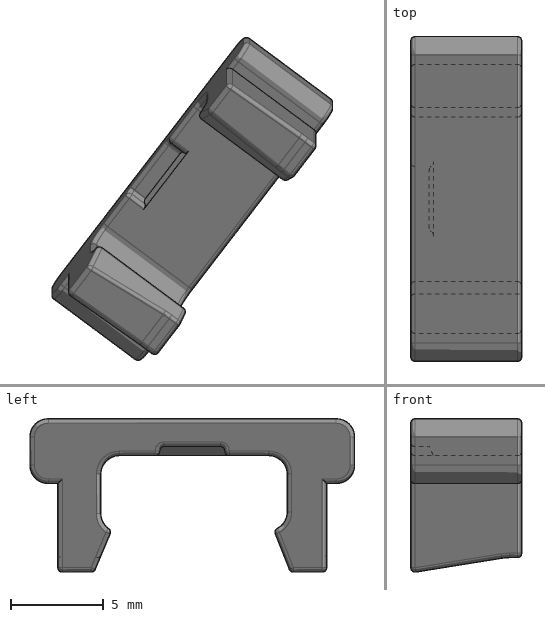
import cadquery as cq
import math

length = 17.5
width = 5.98
head_height = 3.5
corner_radius = 1.0
edge_radius = 0.25

opening_ceiling = 2.0
wall_y_plus = 4.92
wall_y_minus = 5.11

leg_outer_y = 7.25
hook_arc_start_plus = 5.11
hook_arc_start_minus = 5.02
hook_tip_y_plus = 4.34
hook_tip_y_minus = 4.38
foot_inner_y = 5.3

foot_front_depth = 8.31
foot_back_depth = 7.49
foot_slope_length = 5.11
foot_blend_radius = 2.5

pocket_half_width = 1.75
pocket_ceiling = 1.5
pocket_ceiling_length = 1.0
pocket_back_angle = 65.0
pocket_corner_radius = 0.23


def make_head():
    head = cq.Workplane("XY").box(width, length, head_height, centered=(False, True, False))
    return head.translate((0, 0, -head_height)).edges("|X").fillet(corner_radius)


def make_opening():
    """Upper part of the opening, from its rounded ceiling down past the head."""
    opening = (
        cq.Workplane("YZ")
        .moveTo(-wall_y_minus, -opening_ceiling)
        .lineTo(wall_y_plus, -opening_ceiling)
        .lineTo(wall_y_plus, -head_height)
        .lineTo(-wall_y_minus, -head_height)
        .close()
        .extrude(width)
    )
    return opening.edges("|X and >Z").fillet(corner_radius)


def make_leg(side, wall_y, hook_arc_start, hook_tip_y):
    """Straight leg on one side (+1 or -1 along Y); a concave arc leads from its wall to the hook tip."""
    arc_center_y = wall_y - corner_radius
    tip_angle = math.acos((hook_tip_y - arc_center_y) / corner_radius)

    def arc_point(angle):
        y = arc_center_y + corner_radius * math.cos(angle)
        z = -hook_arc_start - corner_radius * math.sin(angle)
        return (side * y, z)

    return (
        cq.Workplane("YZ")
        .moveTo(side * wall_y, -opening_ceiling - corner_radius)
        .lineTo(side * leg_outer_y, -opening_ceiling - corner_radius)
        .lineTo(side * leg_outer_y, -foot_front_depth)
        .lineTo(side * foot_inner_y, -foot_front_depth)
        .lineTo(*arc_point(tip_angle))
        .threePointArc(arc_point(tip_angle / 2), arc_point(0))
        .close()
        .extrude(width)
    )


def make_foot_cutter():
    """Wedge removed below both legs, with a blend where the slope turns level."""
    cutter = (
        cq.Workplane("XZ")
        .moveTo(0, -foot_front_depth)
        .lineTo(foot_slope_length, -foot_back_depth)
        .lineTo(width, -foot_back_depth)
        .lineTo(width, -foot_front_depth)
        .close()
        .extrude(length / 2, both=True)
    )
    slope_end = cq.selectors.NearestToPointSelector((foot_slope_length, 0, -foot_back_depth))
    return cutter.edges(slope_end).fillet(foot_blend_radius)


def make_pocket():
    drop = opening_ceiling - pocket_ceiling
    back_run = drop / math.tan(math.radians(pocket_back_angle))
    pocket = (
        cq.Workplane("XZ")
        .moveTo(0, -opening_ceiling)
        .lineTo(0, -pocket_ceiling)
        .lineTo(pocket_ceiling_length, -pocket_ceiling)
        .lineTo(pocket_ceiling_length + back_run, -opening_ceiling)
        .close()
        .extrude(pocket_half_width, both=True)
    )
    return pocket.edges("|X and >Z").fillet(pocket_corner_radius)


def round_outer_edges(body):
    """Round the front and back outlines, the pocket rim sides and the edges of the hooks and feet."""
    margin = 0.02
    hooks_and_feet = cq.selectors.BoxSelector(
        (-margin, -length, -foot_front_depth - margin),
        (width + margin, length, -hook_arc_start_plus - corner_radius / 2),
    )
    pocket_rim = cq.selectors.BoxSelector(
        (margin, -pocket_half_width - margin, -opening_ceiling - margin),
        (pocket_ceiling_length, pocket_half_width + margin, -opening_ceiling + margin),
    )
    outlines = body.faces("<X or >X").edges()
    rim_sides = body.edges("|X").edges(pocket_rim)
    return outlines.add(rim_sides).add(body.edges(hooks_and_feet)).fillet(edge_radius)


body = make_head().cut(make_opening())
body = body.union(make_leg(1, wall_y_plus, hook_arc_start_plus, hook_tip_y_plus))
body = body.union(make_leg(-1, wall_y_minus, hook_arc_start_minus, hook_tip_y_minus))
body = body.cut(make_foot_cutter()).cut(make_pocket())
result = round_outer_edges(body)